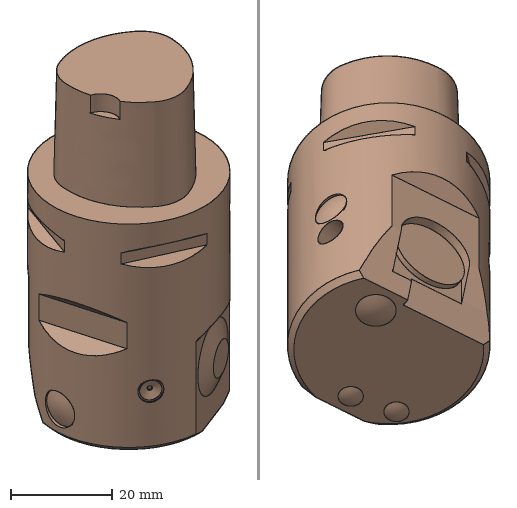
import cadquery as cq
import math

total_height = 77.85
shoulder_z = 53.9
body_bottom_z = 0.85
body_radius = 20.0
rim_chamfer = 1.25

lobe_tip_radius = 14.9
lobe_end_radius = 14.3
lobe_half_angle = 17.5
lobe_count = 3
lobe_pitch = 360 / lobe_count
first_lobe = 90.0
flank_radius = 13.2
shank_inset = 0.55
key_notch_radius = 4.0
key_notch_y = -14.9
key_notch_depth = 4.1

groove_count = 4
groove_first_turn = 45.0
groove_floor_radius = 17.75
groove_bottom_z = 44.6
groove_top_z = 47.2
groove_wall_slope = 30.0

flat_depth_radius = 17.2
front_flat_bottom_z = 25.0
flat_top_z = 31.05
front_flat_wall_slope = 45.0
front_flat_turn = -10.0

axis_z = 14.95
taper_angle = 18.0
relief_angle = 31.0
relief_start_z = 6.45
relief_edge_y = 3.6
disc_diameter = 16.0
disc_radius = disc_diameter / 2
disc_face_x = -15.25
seat_floor_x = -14.1

cone_flat_x = 17.9
cone_flat_top_z = 23.5
cone_top_x = 19.6
cone_top_diameter = 8.0

plug_rim_drop = 0.7
front_plug_diameter = 8.0
front_plug_turn = -22.0
front_plug_z = 7.55
front_plug_tip_radius = 19.9
back_turn = 202.0
back_plug_diameter = 7.55
back_plug_z = 25.15
back_plug_tip_radius = 20.2
back_hole_diameter = 6.1
back_hole_z = 17.75
back_hole_depth = 3.9

nozzle_turn = 34.6
nozzle_z = 14.9
nozzle_seat_diameter = 5.2
nozzle_seat_depth = 0.4
nozzle_mouth_diameter = 4.5
nozzle_bore_diameter = 1.0
nozzle_cone_depth = 0.8
nozzle_bore_depth = 0.4

bottom_domes = [
    (-7.0, 7.5, 8.0, 0.85),
    (14.0, 0.0, 5.0, 0.55),
    (12.45, -9.7, 5.0, 0.55),
]

clear = 23.35


def polar(radius, angle):
    turn = math.radians(angle)
    return (radius * math.cos(turn), radius * math.sin(turn))


def shank_outline(plane, inset):
    """Outline of three lobe arcs joined by three flank arcs, one lobe on +Y."""
    outline = plane.moveTo(*polar(lobe_end_radius - inset, first_lobe - lobe_half_angle))
    for index in range(lobe_count):
        lobe = first_lobe + index * lobe_pitch
        tip = polar(lobe_tip_radius - inset, lobe)
        lobe_end = polar(lobe_end_radius - inset, lobe + lobe_half_angle)
        flank = polar(flank_radius - inset, lobe + lobe_pitch / 2)
        next_lobe = polar(lobe_end_radius - inset, lobe + lobe_pitch - lobe_half_angle)
        outline = outline.threePointArc(tip, lobe_end)
        outline = outline.threePointArc(flank, next_lobe)
    return outline.close()


def make_shank():
    base = shank_outline(cq.Workplane("XY").workplane(offset=shoulder_z), 0)
    top_plane = base.workplane(offset=total_height - shoulder_z)
    shank = shank_outline(top_plane, shank_inset).loft(ruled=True)
    notch = (
        cq.Workplane("XY")
        .workplane(offset=total_height - key_notch_depth)
        .center(0, key_notch_y)
        .circle(key_notch_radius)
        .extrude(key_notch_depth)
    )
    return shank.cut(notch)


def make_body():
    body = (
        cq.Workplane("XY")
        .workplane(offset=body_bottom_z)
        .circle(body_radius)
        .extrude(shoulder_z - body_bottom_z)
    )
    return body.faces("<Z").chamfer(rim_chamfer)


def side_groove(floor_radius, bottom_z, top_z, wall_slope, turn):
    """Flat-floored groove with sloping walls, on the -Y side and then turned around Z."""
    run = clear - floor_radius
    flare = run * math.tan(math.radians(wall_slope))
    section = [
        (-floor_radius, bottom_z),
        (-floor_radius, top_z),
        (-clear, top_z + flare),
        (-clear, bottom_z - flare),
    ]
    groove = cq.Workplane("YZ").polyline(section).close().extrude(clear, both=True)
    return groove.rotate((0, 0, 0), (0, 0, 1), turn)


def along_x(section):
    """Cutter with the given XZ section, running right across the body in Y."""
    return cq.Workplane("XZ").polyline(section).close().extrude(clear, both=True)


def insert_side_cut():
    """Flat with a 45 degree upper wall, tapering inwards below the insert axis."""
    run = clear - flat_depth_radius
    taper_inset = axis_z * math.tan(math.radians(taper_angle))
    return along_x([
        (-clear, flat_top_z + run),
        (-flat_depth_radius, flat_top_z),
        (-flat_depth_radius, axis_z),
        (-flat_depth_radius + taper_inset, 0),
        (-clear, 0),
    ])


def insert_relief_cut():
    """Steeper relief below the insert, open towards -Y."""
    start_inset = (axis_z - relief_start_z) * math.tan(math.radians(taper_angle))
    start_x = -flat_depth_radius + start_inset
    end_x = start_x + relief_start_z * math.tan(math.radians(relief_angle))
    wedge = [(start_x, relief_start_z), (end_x, 0), (-clear, 0), (-clear, relief_start_z)]
    return (
        cq.Workplane("XZ", origin=(0, relief_edge_y, 0))
        .polyline(wedge)
        .close()
        .extrude(clear + relief_edge_y)
    )


def disc_along_x(start_x, end_x):
    return (
        cq.Workplane("YZ", origin=(start_x, 0, axis_z))
        .circle(disc_radius)
        .extrude(end_x - start_x)
    )


def insert_seat():
    """Round-topped pocket, open at the bottom."""
    square = cq.Workplane("XY").box(
        clear + seat_floor_x, 2 * disc_radius, axis_z, centered=(False, True, False)
    )
    return disc_along_x(-clear, seat_floor_x).union(square.translate((-clear, 0, 0)))


def cone_side_cut():
    """Flat with a 45 degree upper wall, running out through the bottom."""
    run = clear - cone_flat_x
    return along_x([
        (clear, cone_flat_top_z + run),
        (cone_flat_x, cone_flat_top_z),
        (cone_flat_x, 0),
        (clear, 0),
    ])


def adjusting_cone():
    return (
        cq.Workplane("YZ", origin=(cone_flat_x, 0, axis_z))
        .circle(disc_radius)
        .workplane(offset=cone_top_x - cone_flat_x)
        .circle(cone_top_diameter / 2)
        .loft()
    )


def radial(solid, turn, z):
    """Move a solid built along +Z so that it points outwards from the body axis."""
    facing_front = solid.rotate((0, 0, 0), (1, 0, 0), 90)
    return facing_front.rotate((0, 0, 0), (0, 0, 1), turn).translate((0, 0, z))


def round_bore(diameter, start):
    """Cylinder along +Z from the bore floor to beyond the body."""
    return cq.Workplane("XY").workplane(offset=start).circle(diameter / 2).extrude(clear - start)


def dome(diameter, height):
    """Spherical cap standing on Z = 0."""
    radius = diameter / 2
    sphere_radius = (radius**2 + height**2) / (2 * height)
    middle_x = radius / 2
    middle_z = height - sphere_radius + math.sqrt(sphere_radius**2 - middle_x**2)
    return (
        cq.Workplane("XZ")
        .lineTo(radius, 0)
        .threePointArc((middle_x, middle_z), (0, height))
        .close()
        .revolve(360, (0, 0), (0, 1))
    )


def add_domed_plug(part, diameter, tip_radius, turn, z):
    rim = tip_radius - plug_rim_drop
    bore = radial(round_bore(diameter, rim), turn, z)
    cap = radial(dome(diameter, plug_rim_drop).translate((0, 0, rim)), turn, z)
    return part.cut(bore).union(cap)


def nozzle_cut():
    """Shallow seat, cone and fine bore as one turned profile along +Z."""
    seat = body_radius - nozzle_seat_depth
    cone_end = seat - nozzle_cone_depth
    profile = [
        (0, clear),
        (nozzle_seat_diameter / 2, clear),
        (nozzle_seat_diameter / 2, seat),
        (nozzle_mouth_diameter / 2, seat),
        (nozzle_bore_diameter / 2, cone_end),
        (nozzle_bore_diameter / 2, cone_end - nozzle_bore_depth),
        (0, cone_end - nozzle_bore_depth),
    ]
    return cq.Workplane("XZ").polyline(profile).close().revolve(360, (0, 0), (0, 1))


part = make_body().union(make_shank())

for index in range(groove_count):
    turn = groove_first_turn + index * 360 / groove_count
    part = part.cut(
        side_groove(groove_floor_radius, groove_bottom_z, groove_top_z, groove_wall_slope, turn)
    )
part = part.cut(
    side_groove(
        flat_depth_radius, front_flat_bottom_z, flat_top_z, front_flat_wall_slope, front_flat_turn
    )
)

part = part.cut(insert_side_cut()).cut(insert_relief_cut()).cut(insert_seat())
part = part.union(disc_along_x(disc_face_x, seat_floor_x))
part = part.cut(cone_side_cut()).union(adjusting_cone())

part = add_domed_plug(
    part, front_plug_diameter, front_plug_tip_radius, front_plug_turn, front_plug_z
)
part = add_domed_plug(part, back_plug_diameter, back_plug_tip_radius, back_turn, back_plug_z)
back_hole = round_bore(back_hole_diameter, body_radius - back_hole_depth)
part = part.cut(radial(back_hole, back_turn, back_hole_z))
part = part.cut(radial(nozzle_cut(), nozzle_turn, nozzle_z))

for x, y, diameter, height in bottom_domes:
    bottom_dome = dome(diameter, height).rotate((0, 0, 0), (1, 0, 0), 180)
    part = part.union(bottom_dome.translate((x, y, body_bottom_z)))

result = part